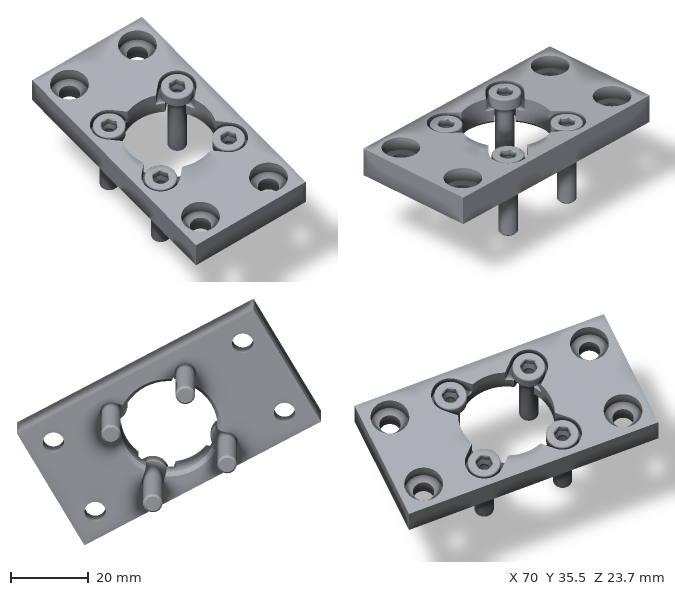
import cadquery as cq
import math

PLATE_LENGTH = 70.0
PLATE_WIDTH = 35.5
PLATE_THICKNESS = 8.0
BORE_DIAMETER = 25.0
BORE_CHAMFER = 1.0

ROW_OFFSET = 11.0
SCREW_OFFSET = ROW_OFFSET
MOUNT_OFFSET = 28.0
CLEARANCE_DIAMETER = 5.5
COUNTERBORE_DIAMETER = 10.0
COUNTERBORE_DEPTH = 3.7

SHANK_DIAMETER = 5.0
SHANK_LENGTH = 20.0
TIP_CHAMFER = 0.5
HEAD_DIAMETER = 8.5
HEAD_HEIGHT = 3.5
HEAD_ROUNDING = 0.4
HEX_ACROSS_FLATS = 4.0
HEX_HALF_SIDE_ANGLE = 30.0
HEX_ACROSS_CORNERS = HEX_ACROSS_FLATS / math.cos(math.radians(HEX_HALF_SIDE_ANGLE))
HEX_DEPTH = 2.0
PILOT_DIAMETER = 2.5
PILOT_DEPTH = 3.5
CONE_HALF_ANGLE = 45.0

SEAT_HEIGHT = PLATE_THICKNESS - COUNTERBORE_DEPTH
SCREW_RADIUS = math.hypot(SCREW_OFFSET, SCREW_OFFSET)
CORNER_ANGLES = (45, 135, 225, 315)


def radial_slot(width, bottom, top):
    """Cutter running from the bore axis out along +X to a round end at the screw axis."""
    height = top - bottom
    channel = cq.Workplane("XY", origin=(SCREW_RADIUS / 2, 0, bottom)).rect(SCREW_RADIUS, width)
    round_end = cq.Workplane("XY", origin=(SCREW_RADIUS, 0, bottom)).circle(width / 2)
    return channel.extrude(height).union(round_end.extrude(height))


def make_plate():
    plate = cq.Workplane("XY").box(
        PLATE_LENGTH, PLATE_WIDTH, PLATE_THICKNESS, centered=(True, True, False)
    )
    plate = plate.faces(">Z").workplane().hole(BORE_DIAMETER)
    plate = plate.faces("<Z").edges("%CIRCLE").chamfer(BORE_CHAMFER)

    plate = (
        plate.faces(">Z")
        .workplane()
        .rect(2 * MOUNT_OFFSET, 2 * ROW_OFFSET, forConstruction=True)
        .vertices()
        .cboreHole(CLEARANCE_DIAMETER, COUNTERBORE_DIAMETER, COUNTERBORE_DEPTH)
    )

    head_slot = radial_slot(COUNTERBORE_DIAMETER, SEAT_HEIGHT, PLATE_THICKNESS)
    shank_slot = radial_slot(CLEARANCE_DIAMETER, 0, PLATE_THICKNESS)
    screw_slot = head_slot.union(shank_slot)
    for angle in CORNER_ANGLES:
        plate = plate.cut(screw_slot.rotate((0, 0, 0), (0, 0, 1), angle))
    return plate


def cone(bottom_radius, top_radius, bottom, height):
    """Cone frustum on the Z axis, standing on the height `bottom`."""
    base = cq.Vector(0, 0, bottom)
    return cq.Workplane(cq.Solid.makeCone(bottom_radius, top_radius, height, pnt=base))


def make_socket():
    """Hexagon socket with a countersunk mouth, a tapered floor and a drilled pilot."""
    hex_floor = HEAD_HEIGHT - HEX_DEPTH
    hexagon = (
        cq.Workplane("XY", origin=(0, 0, hex_floor))
        .polygon(6, HEX_ACROSS_CORNERS)
        .extrude(HEX_DEPTH)
        .rotate((0, 0, 0), (0, 0, 1), HEX_HALF_SIDE_ANGLE)
    )
    flat_radius = HEX_ACROSS_FLATS / 2
    mouth_radius = HEX_ACROSS_CORNERS / 2
    mouth_depth = mouth_radius - flat_radius
    mouth = cone(flat_radius, mouth_radius, HEAD_HEIGHT - mouth_depth, mouth_depth)

    cone_slope = math.tan(math.radians(CONE_HALF_ANGLE))
    pilot_radius = PILOT_DIAMETER / 2
    pilot_floor = HEAD_HEIGHT - PILOT_DEPTH
    pilot = cq.Workplane("XY", origin=(0, 0, pilot_floor)).circle(pilot_radius).extrude(PILOT_DEPTH)
    point_depth = pilot_radius / cone_slope
    pilot_point = cone(0, pilot_radius, pilot_floor - point_depth, point_depth)

    taper_depth = (flat_radius - pilot_radius) / cone_slope
    floor_taper = cone(pilot_radius, flat_radius, hex_floor - taper_depth, taper_depth)
    return hexagon.union(mouth).union(pilot).union(pilot_point).union(floor_taper)


def make_screw():
    """Screw on the Z axis, with the underside of its head at Z = 0."""
    head = cq.Workplane("XY").circle(HEAD_DIAMETER / 2).extrude(HEAD_HEIGHT)
    head = head.edges("%CIRCLE").fillet(HEAD_ROUNDING)
    shank = cq.Workplane("XY").circle(SHANK_DIAMETER / 2).extrude(-SHANK_LENGTH)
    shank = shank.faces("<Z").chamfer(TIP_CHAMFER)
    return head.union(shank).cut(make_socket())


plate = make_plate()

screw = make_screw()
screws = []
for x_side in (-1, 1):
    for y_side in (-1, 1):
        position = (x_side * SCREW_OFFSET, y_side * SCREW_OFFSET, SEAT_HEIGHT)
        screws.append(screw.translate(position).val())

result = cq.Compound.makeCompound([plate.val(), *screws])